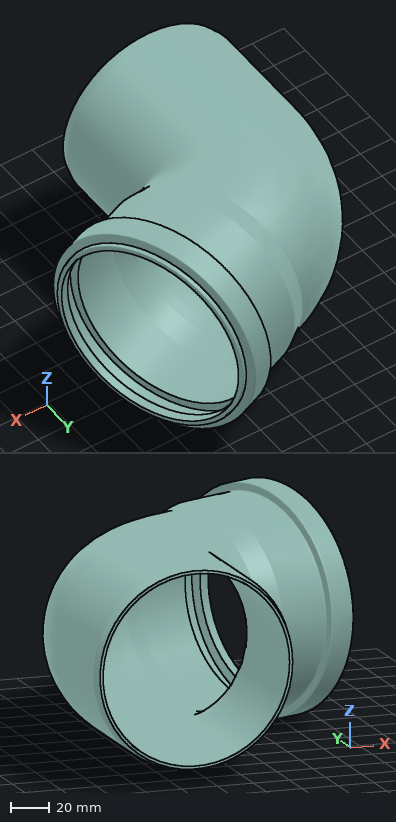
import cadquery as cq
import math

bend_angle = 67.5
bend_radius = 51.7
spigot_length = 67.9
spigot_chamfer_length = 6.0
spigot_chamfer_depth = 1.5
pipe_radius = 110.2 / 2
pipe_bore_radius = 103.7 / 2

socket_radius = 117.0 / 2
lip_radius = 116.6 / 2
collar_radius = 126.8 / 2
wall = 3.0
face_edge_radius = collar_radius - wall
collar_fillet = 0.8
lip_fillet = 0.5

flare_start = 7.2
flare_end = 19.9
collar_start = 50.0
collar_end = 65.0
collar_face_edge = 65.9
lip_start = 66.3
socket_end = 69.0

axis_gap = 0.02


def spigot(profile):
    """Revolve (radius, y) points about the spigot axis."""
    return cq.Workplane("XY").polyline(profile).close().revolve(360, (0, 0), (0, 1))


def bend(radius):
    """Sweep a disc around the bend axis, leaving out the part beyond that axis."""
    start = cq.Workplane("XZ", origin=(0, spigot_length, 0))
    section = cq.Sketch().circle(radius)
    reach = 2 * bend_radius
    keep = cq.Sketch().push([(bend_radius - axis_gap - reach, 0)]).rect(2 * reach, 4 * reach)
    section = section.face(keep, mode="i")
    return start.placeSketch(section).revolve(bend_angle, (bend_radius, 2), (bend_radius, 0))


def socket(profile):
    """Revolve (radius, position) points about the socket axis."""
    angle = math.radians(bend_angle)
    bend_end = (
        bend_radius * (1 - math.cos(angle)),
        spigot_length + bend_radius * math.sin(angle),
        0,
    )
    across = (math.cos(angle), -math.sin(angle), 0)
    plane = cq.Plane(origin=bend_end, xDir=across, normal=(0, 0, 1))
    return cq.Workplane(plane).polyline(profile).close().revolve(360, (0, 0), (0, 1))


def rings(body, radius):
    """Circular edges of one radius, ordered toward the mouth of the socket."""
    circles = body.edges("%CIRCLE").filter(lambda edge: abs(edge.radius() - radius) < 0.0002)
    return circles.sort(lambda edge: edge.Center().x)


outer_spigot = spigot([
    (0, 0),
    (pipe_radius - spigot_chamfer_depth, 0),
    (pipe_radius, spigot_chamfer_length),
    (pipe_radius, spigot_length),
    (0, spigot_length),
])
outer_socket = socket([
    (0, 0),
    (pipe_radius, 0),
    (pipe_radius, flare_start),
    (socket_radius, flare_end),
    (socket_radius, collar_start),
    (collar_radius, collar_start),
    (collar_radius, collar_end),
    (face_edge_radius, collar_face_edge),
    (lip_radius, lip_start),
    (lip_radius, socket_end),
    (0, socket_end),
])

outer_socket = rings(outer_socket, collar_radius).fillet(collar_fillet)
outer_socket = rings(outer_socket, socket_radius)[-1].fillet(collar_fillet)
outer_socket = rings(outer_socket, lip_radius)[-1].fillet(lip_fillet)

spigot_bore = spigot([
    (0, 0),
    (pipe_bore_radius, 0),
    (pipe_bore_radius, spigot_length),
    (0, spigot_length),
])
socket_bore = socket([
    (0, 0),
    (pipe_bore_radius, 0),
    (pipe_bore_radius, flare_start),
    (socket_radius - wall, flare_end),
    (socket_radius - wall, collar_start + wall),
    (collar_radius - wall, collar_start + wall),
    (collar_radius - wall, collar_end - wall),
    (lip_radius - wall, lip_start - wall),
    (lip_radius - wall, socket_end),
    (0, socket_end),
])

outside = outer_spigot.union(bend(pipe_radius)).union(outer_socket)
inside = spigot_bore.union(bend(pipe_bore_radius)).union(socket_bore)
result = outside.cut(inside)